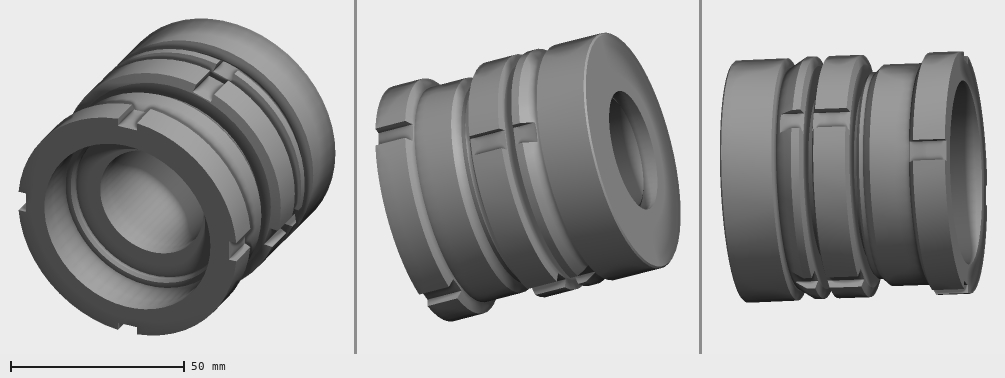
import cadquery as cq
import math


RIM_DIAMETER = 70.0
RIM_RADIUS = RIM_DIAMETER / 2
THREAD_RADIUS = 25.0
ROOT_RADIUS = 24.1
BORE_RADIUS = 16.5

SLOT_COUNT = 4
SLOT_WIDTH = 6.05
SLOT_FLOOR = 32.5
SLOT_TURN = 18

BEVEL_RADIUS = 32.2
BEVEL_LENGTH = 0.85

FLANGE_LENGTH = 9.35
FLANGE_BEVEL_ANGLE = 60
NECK_RADIUS = 32.0
NECK_END = 22.6
NOSE_RADIUS = 29.9
NOSE_START = 24.9
NOSE_CHAMFER = 0.85
SLEEVE_END = 26.95
RECESS_RADIUS = 26.6
RECESS_DEPTH = 14.1
SPINDLE_FRONT = 16.2

NUT_FRONT = 28.4
NUT_REAR = 39.4

UNDERCUT_START = 40.8
COLLAR_FRONT = 41.9
COLLAR_RIM_END = 45.1

BALL_RADIUS = 40.1
BALL_CENTRE = COLLAR_RIM_END - math.sqrt(BALL_RADIUS**2 - RIM_RADIUS**2)

SEAT_FRONT = 49.9
SEAT_REAR = 66.0
SEAT_CHAMFER = 0.5
SEAT_BORE_RADIUS = 17.6
SEAT_TILT = 0.5


def turned(profile):
    """Revolve a closed outline of (radius, y) points about the Y axis."""
    return cq.Workplane("XY").polyline(profile).close().revolve(360, (0, 0, 0), (0, 1, 0))


def cut_slots(body, front, rear, turn):
    """Cut the spanner slots into the rim between two y positions."""
    cutter_height = RIM_RADIUS
    cutter = cq.Workplane("XY").box(SLOT_WIDTH, rear - front, cutter_height).translate(
        (0, (front + rear) / 2, SLOT_FLOOR + cutter_height / 2)
    )
    for i in range(SLOT_COUNT):
        angle = turn + i * 360 / SLOT_COUNT
        body = body.cut(cutter.rotate((0, 0, 0), (0, 1, 0), angle))
    return body


def make_sleeve():
    """Flanged sleeve, recessed in front and threaded on the spindle behind."""
    flange_end = FLANGE_LENGTH + (RIM_RADIUS - NECK_RADIUS) / math.tan(math.radians(FLANGE_BEVEL_ANGLE))
    mouth_end = RECESS_DEPTH + THREAD_RADIUS - ROOT_RADIUS
    sleeve = turned([
        (RECESS_RADIUS, 0),
        (RIM_RADIUS, 0),
        (RIM_RADIUS, FLANGE_LENGTH),
        (NECK_RADIUS, flange_end),
        (NECK_RADIUS, NECK_END),
        (NOSE_RADIUS, NOSE_START),
        (NOSE_RADIUS, SLEEVE_END - NOSE_CHAMFER),
        (NOSE_RADIUS - NOSE_CHAMFER, SLEEVE_END),
        (THREAD_RADIUS, SLEEVE_END),
        (THREAD_RADIUS, SPINDLE_FRONT),
        (ROOT_RADIUS, SPINDLE_FRONT),
        (ROOT_RADIUS, mouth_end),
        (THREAD_RADIUS, RECESS_DEPTH),
        (RECESS_RADIUS, RECESS_DEPTH),
    ])
    return cut_slots(sleeve, 0, flange_end, 0)


def make_lock_nut():
    """Slotted nut with both rim edges bevelled."""
    nut = turned([
        (THREAD_RADIUS, NUT_FRONT),
        (BEVEL_RADIUS, NUT_FRONT),
        (RIM_RADIUS, NUT_FRONT + BEVEL_LENGTH),
        (RIM_RADIUS, NUT_REAR - BEVEL_LENGTH),
        (BEVEL_RADIUS, NUT_REAR),
        (THREAD_RADIUS, NUT_REAR),
    ])
    return cut_slots(nut, NUT_FRONT, NUT_REAR, SLOT_TURN)


def ball_y(radius):
    """Y position of the ball surface at a distance from the axis."""
    return BALL_CENTRE + math.sqrt(BALL_RADIUS**2 - radius**2)


def make_spindle():
    """Hollow threaded spindle with a slotted collar that ends in the ball surface."""
    ball_middle = (BORE_RADIUS + RIM_RADIUS) / 2
    spindle = (
        cq.Workplane("XY")
        .moveTo(BORE_RADIUS, SPINDLE_FRONT)
        .lineTo(THREAD_RADIUS, SPINDLE_FRONT)
        .lineTo(THREAD_RADIUS, NUT_REAR)
        .lineTo(ROOT_RADIUS, UNDERCUT_START)
        .lineTo(ROOT_RADIUS, COLLAR_FRONT)
        .lineTo(BEVEL_RADIUS, COLLAR_FRONT)
        .lineTo(RIM_RADIUS, COLLAR_FRONT + BEVEL_LENGTH)
        .lineTo(RIM_RADIUS, COLLAR_RIM_END)
        .threePointArc((ball_middle, ball_y(ball_middle)), (BORE_RADIUS, ball_y(BORE_RADIUS)))
        .close()
        .revolve(360, (0, 0, 0), (0, 1, 0))
    )
    return cut_slots(spindle, COLLAR_FRONT, SEAT_FRONT, SLOT_TURN)


def make_seat_ring():
    """Ring with a hollow ball seat in front, tilted on the spindle."""
    ring = turned([
        (SEAT_BORE_RADIUS, SEAT_FRONT),
        (BEVEL_RADIUS, SEAT_FRONT),
        (RIM_RADIUS, SEAT_FRONT + BEVEL_LENGTH),
        (RIM_RADIUS, SEAT_REAR - SEAT_CHAMFER),
        (RIM_RADIUS - SEAT_CHAMFER, SEAT_REAR),
        (SEAT_BORE_RADIUS, SEAT_REAR),
    ])
    centre = (0, BALL_CENTRE, 0)
    ball = cq.Workplane("XY").sphere(BALL_RADIUS).translate(centre)
    return ring.cut(ball).rotate(centre, (1, BALL_CENTRE, 0), -SEAT_TILT)


sleeve = make_sleeve()
lock_nut = make_lock_nut()
spindle = make_spindle()
seat_ring = make_seat_ring()

result = cq.Compound.makeCompound([
    sleeve.val(),
    lock_nut.val(),
    spindle.val(),
    seat_ring.val(),
])